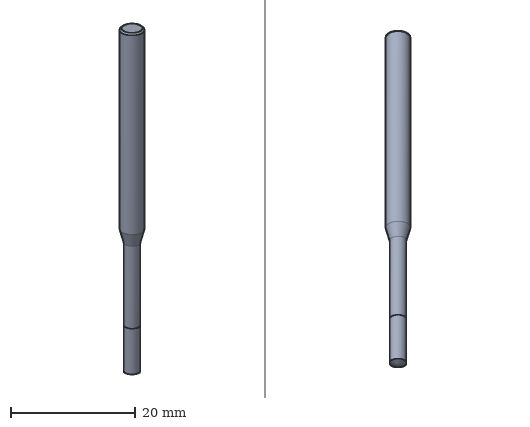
import cadquery as cq

TOTAL_LENGTH = 62.0
SHANK_DIAMETER = 4.0
SHANK_CHAMFER = 0.3

POINT_HEIGHT = 0.5
HEAD_TOP = 8.75
NECK_TOP = 23.55
TAPER_TOP = 26.0

NECK_DIAMETER = 2.7
HEAD_DIAMETER = NECK_DIAMETER


def revolve_profile(points):
    """Revolve a closed (radius, height) outline about the Z axis."""
    return cq.Workplane("XZ").polyline(points).close().revolve(360, (0, 0), (0, 1))


def make_cutting_head():
    """Cylindrical head with a shallow conical point at its lower end."""
    radius = HEAD_DIAMETER / 2
    return revolve_profile([
        (0, 0),
        (radius, POINT_HEIGHT),
        (radius, HEAD_TOP),
        (0, HEAD_TOP),
    ])


def make_shank():
    """Slim neck widening through a cone into the chamfered shank."""
    neck_radius = NECK_DIAMETER / 2
    shank_radius = SHANK_DIAMETER / 2
    return revolve_profile([
        (0, HEAD_TOP),
        (neck_radius, HEAD_TOP),
        (neck_radius, NECK_TOP),
        (shank_radius, TAPER_TOP),
        (shank_radius, TOTAL_LENGTH - SHANK_CHAMFER),
        (shank_radius - SHANK_CHAMFER, TOTAL_LENGTH),
        (0, TOTAL_LENGTH),
    ])


cutting_head = make_cutting_head()
shank = make_shank()

result = cq.Compound.makeCompound([cutting_head.val(), shank.val()])